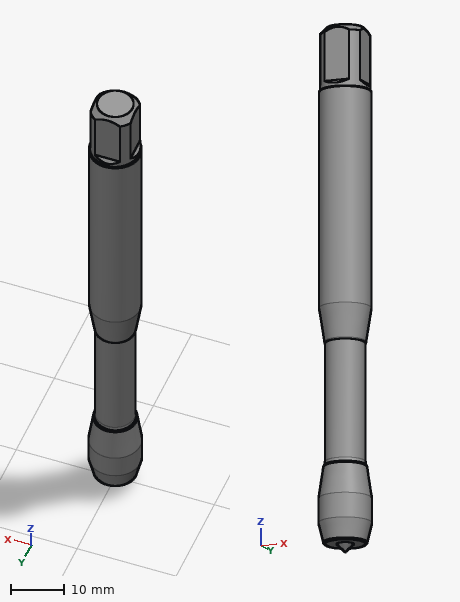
import cadquery as cq

total_length = 101.6
tip_height = 1.6
head_top = 16.9

shank_diameter = 10.0
shank_edge_bevel = 0.2
shank_top = 89.5
drive_diameter = shank_diameter - 2 * shank_edge_bevel
drive_flats = 8.1
flat_bottom = 90.8
drive_top_diameter = 6.9

neck_diameter = 7.7
neck_top = 40.6
neck_bottom = 17.6
neck_bevel_height = 0.3
neck_bevel_diameter = 7.9
shank_taper_length = 6.5

head_diameter = 10.2
head_taper_length = 6.1
lead_length = 4.1
lead_diameter = 8.3
collar_diameter = 8.3
collar_height = 0.3
end_bevel = 0.3
tip_diameter = 2 * tip_height


def revolve_profile(points):
    """Revolve a closed (radius, height) outline around the Z axis."""
    return cq.Workplane("XZ").polyline(points).close().revolve(360, (0, 0), (0, 1))


def make_shank():
    """Round shank and neck, from the head joint up to the drive end."""
    drive_bevel = (drive_diameter - drive_top_diameter) / 2
    taper_bottom = neck_top + neck_bevel_height
    return revolve_profile([
        (0, head_top),
        (neck_bevel_diameter / 2, head_top),
        (neck_diameter / 2, neck_bottom),
        (neck_diameter / 2, neck_top),
        (neck_bevel_diameter / 2, taper_bottom),
        (shank_diameter / 2, taper_bottom + shank_taper_length),
        (shank_diameter / 2, shank_top - shank_edge_bevel),
        (drive_diameter / 2, shank_top),
        (drive_diameter / 2, total_length - drive_bevel),
        (drive_top_diameter / 2, total_length),
        (0, total_length),
    ])


def make_flat_cutter():
    """Cutter for the +X drive flat, with a 45 degree run-out below it."""
    flat_x = drive_flats / 2
    reach = shank_diameter / 2
    return (
        cq.Workplane("XZ")
        .polyline([
            (flat_x, total_length),
            (flat_x, flat_bottom),
            (reach, flat_bottom - (reach - flat_x)),
            (reach, total_length),
        ])
        .close()
        .extrude(shank_diameter / 2, both=True)
    )


def cut_drive_flats(body):
    """Cut the four flats of the square drive."""
    cutter = make_flat_cutter()
    flat_count = 4
    for index in range(flat_count):
        body = body.cut(cutter.rotate((0, 0, 0), (0, 0, 1), index * 360 / flat_count))
    return body


def make_head():
    """Barrel-shaped head with a tapered lead and a pointed tip."""
    lead_top = tip_height + lead_length
    collar_bottom = head_top - collar_height
    return revolve_profile([
        (0, 0),
        (tip_diameter / 2, tip_height),
        (lead_diameter / 2 - end_bevel, tip_height),
        (lead_diameter / 2, tip_height + end_bevel),
        (head_diameter / 2, lead_top),
        (head_diameter / 2, collar_bottom - head_taper_length),
        (collar_diameter / 2, collar_bottom),
        (neck_bevel_diameter / 2, head_top),
        (0, head_top),
    ])


shank = cut_drive_flats(make_shank())
head = make_head()

result = cq.Compound.makeCompound([shank.val(), head.val()])